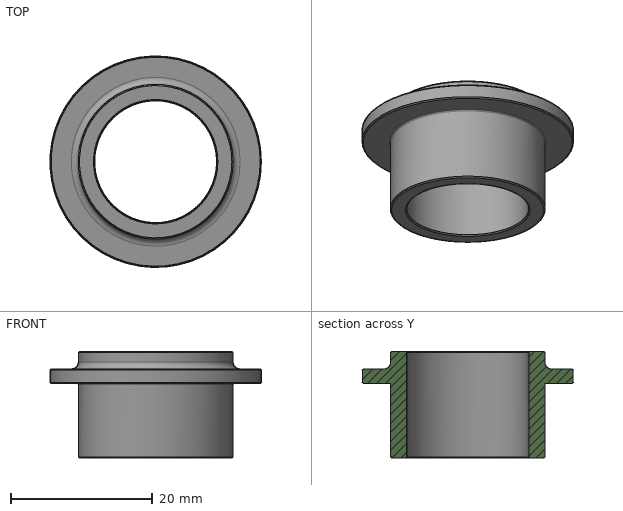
import cadquery as cq

flange_diameter = 29.9
sleeve_diameter = 21.88
bore_diameter = 17.22
total_height = 15.1

flange_bottom = 10.52
flange_thickness = 2.1
flange_top = flange_bottom + flange_thickness

edge_chamfer = 0.18
collar_fillet = 1.0
underside_fillet = 0.15


def disc(diameter, bottom, height):
    """Cylinder on the Z axis with both rims chamfered."""
    return (
        cq.Workplane("XY", origin=(0, 0, bottom))
        .circle(diameter / 2)
        .extrude(height)
        .edges()
        .chamfer(edge_chamfer)
    )


sleeve = disc(sleeve_diameter, 0, total_height)
flange = disc(flange_diameter, flange_bottom, flange_thickness)


def fillet_ring(flange_face, radius, direction):
    """Concave ring blending the sleeve into a flange face; direction is +1 upward, -1 downward."""
    sleeve_radius = sleeve_diameter / 2
    far_end = flange_face + direction * radius
    return (
        cq.Workplane("XZ")
        .moveTo(bore_diameter / 2, flange_face)
        .lineTo(sleeve_radius + radius, flange_face)
        .radiusArc((sleeve_radius, far_end), direction * radius)
        .lineTo(bore_diameter / 2, far_end)
        .close()
        .revolve(360, (0, 0, 0), (0, 1, 0))
    )


upper_fillet = fillet_ring(flange_top, collar_fillet, 1)
lower_fillet = fillet_ring(flange_bottom, underside_fillet, -1)

bore = cq.Workplane("XY").circle(bore_diameter / 2).extrude(total_height)
result = sleeve.union(flange).union(upper_fillet).union(lower_fillet).cut(bore)
bore_rims = cq.selectors.RadiusNthSelector(0)
result = result.faces("<Z or >Z").edges(bore_rims).chamfer(edge_chamfer)